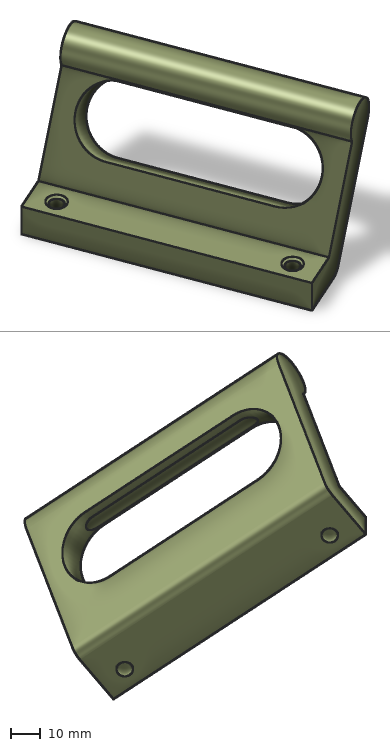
import cadquery as cq
import math

length = 106.0
thickness = 12.0
base_depth = 14.8
arm_angle = 60.0
grip_diameter = 16.0
total_height = 59.0
bend_radius = 5.0

slot_end_margin = 8.1
slot_width = 28.0
slot_offset = 12.2

hole_diameter = 5.5
hole_chamfer = 1.0
hole_end_inset = 10.0
hole_front_inset = 7.0

slope = math.radians(arm_angle)
up_y, up_z = math.cos(slope), math.sin(slope)
back_y, back_z = math.sin(slope), -math.cos(slope)

back_bend_y = base_depth + thickness * math.tan(slope / 2)

grip_radius = grip_diameter / 2
grip_z = total_height - grip_radius
tangent_z = grip_z + grip_radius * back_z
tangent_y = back_bend_y + tangent_z / math.tan(slope)
grip_y = tangent_y - grip_radius * back_y


def make_bracket():
    """Bent base and arm, with the outside of the bend rounded."""
    front_top = (tangent_y - thickness * back_y, tangent_z - thickness * back_z)
    front_reach = math.sqrt(grip_radius**2 - (thickness - grip_radius) ** 2)
    front_join = (front_top[0] - front_reach * up_y, front_top[1] - front_reach * up_z)
    outline = [
        (0, 0),
        (back_bend_y, 0),
        (tangent_y, tangent_z),
        (grip_y, grip_z),
        front_join,
        (base_depth, thickness),
        (0, thickness),
    ]
    bracket = cq.Workplane("YZ").polyline(outline).close().extrude(length / 2, both=True)
    bend_edge = cq.selectors.NearestToPointSelector((0, back_bend_y, 0))
    return bracket.edges(bend_edge).fillet(bend_radius)


def make_grip():
    """Round bar along the top of the arm."""
    return cq.Workplane("YZ").center(grip_y, grip_z).circle(grip_radius).extrude(length / 2, both=True)


def make_slot():
    """Round-ended hand opening, cut square through the arm."""
    centre_distance = slot_offset + slot_width / 2
    centre = (0, base_depth + centre_distance * up_y, thickness + centre_distance * up_z)
    arm_face = cq.Plane(origin=centre, xDir=(1, 0, 0), normal=(0, back_y, back_z))
    return cq.Workplane(arm_face).slot2D(length - 2 * slot_end_margin, slot_width).extrude(thickness)


def make_hole(x):
    """Vertical screw hole through the base, chamfered at the top."""
    hole_radius = hole_diameter / 2
    profile = [
        (0, 0),
        (hole_radius, 0),
        (hole_radius, thickness - hole_chamfer),
        (hole_radius + hole_chamfer, thickness),
        (0, thickness),
    ]
    hole = cq.Workplane("XZ").polyline(profile).close().revolve(360, (0, 0), (0, 1))
    return hole.translate((x, hole_front_inset, 0))


result = make_bracket().cut(make_slot()).union(make_grip())
for side in (-1, 1):
    result = result.cut(make_hole(side * (length / 2 - hole_end_inset)))